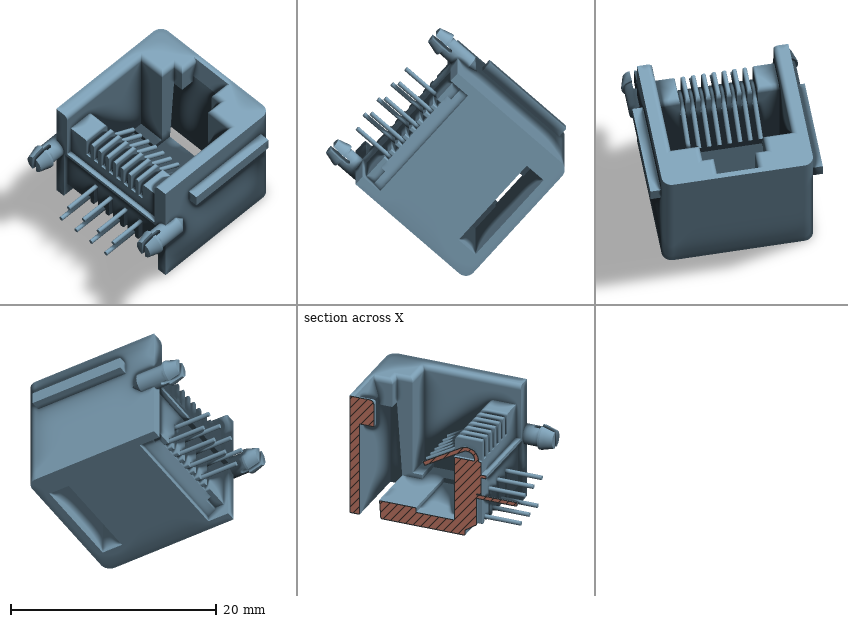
import cadquery as cq
import math


OVERALL_WIDTH = 17.5
OVERALL_DEPTH = 17.8

BODY_HALF_WIDTH = 7.5
BODY_DEPTH = 14.5
BODY_HEIGHT = 12.85
BACK_CORNER_RADIUS = 1.0

CAVITY_HALF_WIDTH = 6.0
SHOULDER_HALF_WIDTH = 3.15
KEY_HALF_WIDTH = 2.03
CAVITY_BACK = 10.25
SHOULDER_BACK = 11.93
KEY_BACK = 13.42
KEY_MOUTH_BACK = 13.97
KEY_RAMP_BOTTOM = 10.82
MOUTH_RADIUS = 0.5
FLOOR_HEIGHT = 2.0
FLOOR_RECESS_DEPTH = 0.5
FLOOR_RECESS_HALF_WIDTH = 4.29
FLOOR_RECESS_BACK = 7.42
PAD_FRONT = 9.24
PAD_HEIGHT = 0.5

LATCH_HALF_WIDTH = 5.0
LATCH_TOP = 9.93
LATCH_FRONT_BOTTOM = 11.23

COMB_FRONT = 0.52
COMB_BACK = 3.4
COMB_TOP = 10.65
COMB_SLOT_BOTTOM = 8.4
COMB_SLOT_WIDTH = 0.57
SHELF_TOP = 7.01
PANEL_HALF_WIDTH = 6.46
PANEL_TOP = 6.65
PANEL_BOTTOM = 1.42

HOLLOW_RAMP_RUN = 1.25
HOLLOW_BACK_HEIGHT = 0.57
HOLLOW_CORNER_X = 4.82
HOLLOW_CORNER_STEP = 0.32

CONTACT_COUNT = 8
CONTACT_SPAN = 7.14
CONTACT_PITCH = CONTACT_SPAN / (CONTACT_COUNT - 1)
WIRE_DIAMETER = 0.46
PIN_DIAMETER = 0.45
PIN_TIP = BODY_DEPTH - OVERALL_DEPTH
PIN_HEIGHTS = (1.95, 4.54)
PIN_SLOT_WIDTH = 0.52
PIN_SLOT_FLARE = 0.15
PIN_SLOT_DEPTH = 0.5
PIN_ROOT_DEPTH = 0.35
BEND_RADIUS = 1.01
BEND_Y = 2.05
BEND_Z = 8.49
WIRE_ROOT_DEPTH = 0.35
WIRE_ROOT_Z = COMB_SLOT_BOTTOM - WIRE_ROOT_DEPTH
WIRE_END_Y = 6.65
WIRE_ANGLE = 30.0

RAIL_OUTER_X = 8.55
RAIL_FRONT = 3.22
RAIL_BACK = 13.2
RAIL_BOTTOM = 9.08
RAIL_TOP = 10.36

PEG_Z = 6.84
PEG_DIAMETER = 2.05
PEG_RADIUS = PEG_DIAMETER / 2
PEG_CONE_BASE = 1.4
PEG_HEAD_RADIUS = OVERALL_WIDTH / 2 - BODY_HALF_WIDTH
PEG_HEAD_BACK = -1.62
PEG_HEAD_FRONT = -1.83
PEG_TIP_RADIUS = 0.9
PEG_TIP = -3.06
PEG_SLIT_WIDTH = 0.45
PEG_SLIT_END = -0.8

contact_xs = [(i - (CONTACT_COUNT - 1) / 2) * CONTACT_PITCH for i in range(CONTACT_COUNT)]


def box(x0, x1, y0, y1, z0, z1):
    """Box between two opposite corners."""
    return cq.Workplane("XY").box(x1 - x0, y1 - y0, z1 - z0, centered=False).translate((x0, y0, z0))


def wide_box(half_width, y0, y1, z0, z1):
    """Box centred on x = 0."""
    return box(-half_width, half_width, y0, y1, z0, z1)


def wide_prism(half_width, yz_points):
    """Prism with a YZ outline, centred on x = 0."""
    return cq.Workplane("YZ").polyline(yz_points).close().extrude(half_width, both=True)


def both_sides(shape):
    """Shape together with its mirror image across x = 0."""
    return shape.union(shape.mirror("YZ"))


def flared_slot(x, width, flare, closed_z, open_z, y0, y1):
    """Slot along Y whose open end is widened by rounded edges."""
    half = width / 2
    side = 1 if open_z > closed_z else -1
    straight_end = open_z - side * flare
    on_arc = flare * (1 - math.sqrt(0.5))
    arc_z = open_z - side * on_arc
    return (
        cq.Workplane("XZ", origin=(x, y0, 0))
        .moveTo(-half, closed_z)
        .lineTo(half, closed_z)
        .lineTo(half, straight_end)
        .threePointArc((half + on_arc, arc_z), (half + flare, open_z))
        .lineTo(-half - flare, open_z)
        .threePointArc((-half - on_arc, arc_z), (-half, straight_end))
        .close()
        .extrude(y0 - y1)
    )


def housing():
    """Block with the stepped plug cavity and its rounded mouth."""
    block = wide_box(BODY_HALF_WIDTH, 0, BODY_DEPTH, 0, BODY_HEIGHT)
    block = block.edges("|Z and >Y").fillet(BACK_CORNER_RADIUS)
    right_side = [
        (CAVITY_HALF_WIDTH, 0),
        (CAVITY_HALF_WIDTH, CAVITY_BACK),
        (SHOULDER_HALF_WIDTH, CAVITY_BACK),
        (SHOULDER_HALF_WIDTH, SHOULDER_BACK),
        (KEY_HALF_WIDTH, SHOULDER_BACK),
        (KEY_HALF_WIDTH, KEY_MOUTH_BACK),
    ]
    left_side = [(-x, y) for x, y in reversed(right_side)]
    cavity = (
        cq.Workplane("XY", origin=(0, 0, FLOOR_HEIGHT))
        .polyline(right_side + left_side)
        .close()
        .extrude(BODY_HEIGHT - FLOOR_HEIGHT)
    )
    block = block.cut(cavity)
    margin = 0.02
    mouth = cq.selectors.BoxSelector(
        (-CAVITY_HALF_WIDTH - margin, margin, BODY_HEIGHT - margin),
        (CAVITY_HALF_WIDTH + margin, KEY_MOUTH_BACK - margin, BODY_HEIGHT + margin),
    )
    block = block.edges(mouth).fillet(MOUTH_RADIUS)

    ramp = wide_prism(
        KEY_HALF_WIDTH + MOUTH_RADIUS,
        [(KEY_BACK, 0), (KEY_BACK, KEY_RAMP_BOTTOM), (KEY_MOUTH_BACK, BODY_HEIGHT), (KEY_MOUTH_BACK, 0)],
    )
    latch_opening = wide_prism(
        LATCH_HALF_WIDTH,
        [(LATCH_FRONT_BOTTOM, 0), (SHOULDER_BACK, LATCH_TOP), (KEY_BACK, LATCH_TOP), (KEY_BACK, 0)],
    )
    block = block.union(ramp).cut(latch_opening)

    pad_top = FLOOR_HEIGHT + PAD_HEIGHT
    pad = box(SHOULDER_HALF_WIDTH, CAVITY_HALF_WIDTH, PAD_FRONT, CAVITY_BACK, FLOOR_HEIGHT, pad_top)
    recess_floor = FLOOR_HEIGHT - FLOOR_RECESS_DEPTH
    recess = wide_box(FLOOR_RECESS_HALF_WIDTH, COMB_BACK, FLOOR_RECESS_BACK, recess_floor, FLOOR_HEIGHT)
    return block.union(both_sides(pad)).cut(recess)


def comb():
    """Slotted wall that guides the contacts, with the shelf in front of it."""
    wall = wide_box(CAVITY_HALF_WIDTH, COMB_FRONT, COMB_BACK, FLOOR_HEIGHT, COMB_TOP)
    wall = wall.edges(">Y and >Z").fillet(MOUTH_RADIUS)
    flare = (CONTACT_PITCH - COMB_SLOT_WIDTH) / 2
    for x in contact_xs:
        wall = wall.cut(
            flared_slot(x, COMB_SLOT_WIDTH, flare, COMB_SLOT_BOTTOM, COMB_TOP, COMB_FRONT, COMB_BACK)
        )
    return wall.union(wide_box(CAVITY_HALF_WIDTH, 0, COMB_FRONT, FLOOR_HEIGHT, SHELF_TOP))


def cut_underside(body):
    """Recess the board-side panel, hollow the underside and slot the panel for the pins."""
    body = body.cut(wide_box(PANEL_HALF_WIDTH, 0, COMB_FRONT, 0, PANEL_TOP))
    slot_back = COMB_FRONT + PIN_SLOT_DEPTH
    hollow_back = slot_back + HOLLOW_RAMP_RUN
    hollow = wide_prism(
        PANEL_HALF_WIDTH,
        [
            (COMB_FRONT, 0),
            (COMB_FRONT, PANEL_BOTTOM),
            (slot_back, PANEL_BOTTOM),
            (hollow_back, HOLLOW_BACK_HEIGHT),
            (hollow_back, 0),
        ],
    )
    body = body.cut(hollow)
    ramp_slope = (PANEL_BOTTOM - HOLLOW_BACK_HEIGHT) / HOLLOW_RAMP_RUN
    corner_back = slot_back + HOLLOW_CORNER_STEP / ramp_slope
    corner = box(HOLLOW_CORNER_X, PANEL_HALF_WIDTH, COMB_FRONT, corner_back, 0, PANEL_BOTTOM)
    body = body.cut(both_sides(corner))
    for i, x in enumerate(contact_xs):
        slot_top = PIN_HEIGHTS[i % 2] + PIN_SLOT_WIDTH / 2
        body = body.cut(
            flared_slot(x, PIN_SLOT_WIDTH, PIN_SLOT_FLARE, slot_top, PANEL_BOTTOM, COMB_FRONT, slot_back)
        )
    return body


def board_pin(x, z):
    """Straight pin rooted in the back of its panel slot."""
    root = COMB_FRONT + PIN_SLOT_DEPTH + PIN_ROOT_DEPTH
    return cq.Workplane("XZ", origin=(x, root, z)).circle(PIN_DIAMETER / 2).extrude(root - PIN_TIP)


def contact_wire(x):
    """Wire rising from the comb slot, bending over and sloping down towards the back."""
    slope = math.radians(WIRE_ANGLE)
    mid_angle = (math.pi + math.pi / 2 - slope) / 2
    bend_end = (BEND_Y + BEND_RADIUS * math.sin(slope), BEND_Z + BEND_RADIUS * math.cos(slope))
    bend_middle = (BEND_Y + BEND_RADIUS * math.cos(mid_angle), BEND_Z + BEND_RADIUS * math.sin(mid_angle))
    wire_end = (WIRE_END_Y, bend_end[1] - (WIRE_END_Y - bend_end[0]) * math.tan(slope))
    start_y = BEND_Y - BEND_RADIUS
    path = (
        cq.Workplane("YZ", origin=(x, 0, 0))
        .moveTo(start_y, WIRE_ROOT_Z)
        .lineTo(start_y, BEND_Z)
        .threePointArc(bend_middle, bend_end)
        .lineTo(*wire_end)
    )
    return cq.Workplane("XY", origin=(x, start_y, WIRE_ROOT_Z)).circle(WIRE_DIAMETER / 2).sweep(path)


def left_peg():
    """Turned peg with a conical back end, a snap head and a slit through its tip."""
    profile = [
        (0, PEG_CONE_BASE + PEG_RADIUS),
        (PEG_RADIUS, PEG_CONE_BASE),
        (PEG_RADIUS, PEG_HEAD_BACK),
        (PEG_HEAD_RADIUS, PEG_HEAD_BACK),
        (PEG_HEAD_RADIUS, PEG_HEAD_FRONT),
        (PEG_TIP_RADIUS, PEG_TIP),
        (0, PEG_TIP),
    ]
    turned = cq.Workplane("XY").polyline(profile).close().revolve(360, (0, 0, 0), (0, 1, 0))
    slit_half = PEG_SLIT_WIDTH / 2
    slit = (
        cq.Workplane("XY")
        .moveTo(-slit_half, PEG_TIP)
        .lineTo(-slit_half, PEG_SLIT_END - slit_half)
        .threePointArc((0, PEG_SLIT_END), (slit_half, PEG_SLIT_END - slit_half))
        .lineTo(slit_half, PEG_TIP)
        .close()
        .extrude(PEG_HEAD_RADIUS, both=True)
    )
    return turned.cut(slit).translate((-BODY_HALF_WIDTH, 0, PEG_Z))


result = cut_underside(housing().union(comb()))

for i, contact_x in enumerate(contact_xs):
    result = result.union(board_pin(contact_x, PIN_HEIGHTS[i % 2]))
    result = result.union(contact_wire(contact_x))

rail = box(BODY_HALF_WIDTH, RAIL_OUTER_X, RAIL_FRONT, RAIL_BACK, RAIL_BOTTOM, RAIL_TOP)
result = result.union(both_sides(rail))
result = result.union(both_sides(left_peg()))